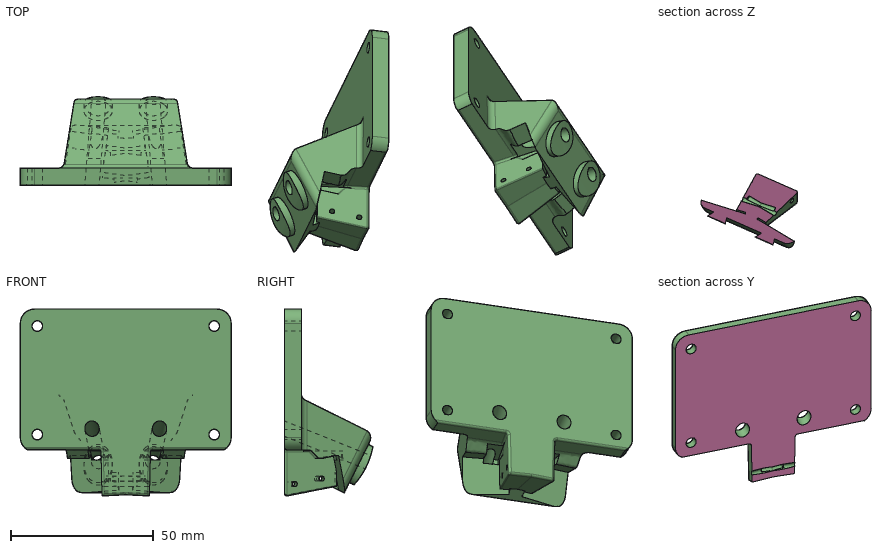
import cadquery as cq
import math

plate_width = 74
plate_height = 50.0
plate_thickness = 6.0
corner_radius = 5.0
screw_hole_diameter = 3.6
screw_hole_inset = 6.0
front_edge_radius = 0.8

body_pitch = 26.5
body_depth = 23.1
body_root_width = 44.5
body_side_taper = 8.5
body_side_pitch = 11
body_length = 44.4
body_end_y = 26.1
body_end_z = -4.15
body_edge_radius = 2.95
root_radius = 2.2

button_spacing = 19.4
button_width = 10.0
button_height = 15.0
button_rim = 1.8
button_dome = 1.0

bore_diameter = 5.0
bore_front_spacing = 23.7
bore_front_z = 8.1
bore_exit_rise = 1.6

mount_half_width = 8.8
mount_turn = 8
mount_lean = 1.3
mount_pitch = 11
mount_bottom_z = -15.75
mount_length = 18.5
mount_edge_radius = 0.4
pin_hole_diameter = 1.8
pin_hole_places = [(3.7, -11.3), (13.25, -9.5)]

pocket_back_y = 17.3
pocket_back_z = -1.25
pocket_floor_z = -22.2

relief_z = 0.7
relief_step_start_y = 7.9
relief_step_end = (13.0, -2.4)
neck_corner_radius = 0.75

window_width = 5.7
window_bottom_z = -2.95
window_top_z = 0.2
window_front_y = 6.65
window_back_y = 20.3

overlap = 3.7


def sloped(start, run, angle):
    """Point reached from start after a horizontal run at the given slope."""
    return (start[0] + run, start[1] + run * math.tan(math.radians(angle)))


def both_sides(solid):
    return solid.union(solid.mirror("YZ"))


def place_on_mount(solid):
    """Move a solid from the frame of the left side face to its place on the part."""
    return solid.rotate((0, 0, 0), (0, 0, 1), -mount_turn).translate((-mount_half_width, 0, 0))


def make_plate():
    return (
        cq.Workplane("XZ")
        .rect(plate_width, plate_height)
        .extrude(-plate_thickness)
        .edges("|Y")
        .fillet(corner_radius)
        .translate((0, 0, plate_height / 2))
    )


def end_face_plane():
    """Plane of the end face: normal out of the body, X across, Y down the face."""
    pitch = math.radians(body_pitch)
    return cq.Plane((0, body_end_y, body_end_z), (1, 0, 0), (0, math.cos(pitch), -math.sin(pitch)))


def make_body():
    """Slab along the body axis, trimmed to tapered sides and to the back of the plate."""
    slab = cq.Workplane(end_face_plane()).box(
        plate_width, body_depth, body_length, centered=(True, True, False)
    )
    slab = slab.translate(end_face_plane().zDir * -body_length)
    root_half = body_root_width / 2
    end_half = root_half - body_length * math.tan(math.radians(body_side_taper))
    wedge = (
        cq.Workplane("XY")
        .polyline([
            (-root_half, 0),
            (root_half, 0),
            (end_half, body_length),
            (-end_half, body_length),
        ])
        .close()
        .extrude(body_length, both=True)
        .rotate((0, 0, 0), (1, 0, 0), -body_side_pitch)
    )
    body = slab.intersect(wedge)
    end_face = body.faces(cq.selectors.DirectionMinMaxSelector(end_face_plane().zDir, True))
    rounded = end_face.edges().filter(lambda edge: edge.Center().z > body_end_z - body_depth / 4)
    body = body.newObject(rounded.vals()).fillet(body_edge_radius)
    behind = cq.Workplane().box(plate_width, 74, 148, centered=(True, False, True))
    return body.intersect(behind.translate((0, plate_thickness / 2, 0)))


def fillet_root(solid):
    """Round the corner where the sides and top of the body meet the plate back."""
    reach = 0.01
    at_back = cq.selectors.BoxSelector(
        (corner_radius - plate_width / 2, plate_thickness - reach, reach),
        (plate_width / 2 - corner_radius, plate_thickness + reach, plate_height - corner_radius),
    )
    return solid.edges(at_back).fillet(root_radius)


def make_buttons():
    """Oval studs whose ends curve from top to bottom and run straight from side to side."""
    half_height = button_height / 2
    stud = (
        cq.Workplane("XY")
        .ellipse(button_width / 2, half_height)
        .extrude(button_rim + button_dome + overlap)
        .translate((0, 0, -overlap))
    )
    side_profile = (
        cq.Workplane("YZ")
        .moveTo(-half_height, -overlap)
        .lineTo(-half_height, button_rim)
        .threePointArc((0, button_rim + button_dome), (half_height, button_rim))
        .lineTo(half_height, -overlap)
        .close()
        .extrude(button_width, both=True)
    )
    left = stud.intersect(side_profile).translate((-button_spacing / 2, 0, 0))
    return both_sides(cq.Workplane(left.val().moved(cq.Location(end_face_plane()))))


def make_mounts():
    low_front = (0, mount_bottom_z)
    half = (
        cq.Workplane("YZ")
        .polyline([
            (0, overlap),
            low_front,
            sloped(low_front, mount_length, mount_pitch),
            (mount_length, overlap),
        ])
        .close()
        .extrude(mount_half_width * 2)
        .faces("<X")
        .edges("<Z")
        .fillet(mount_edge_radius)
        .rotate((0, 0, 0), (0, 1, 0), -mount_lean)
    )
    keep = cq.Workplane().box(mount_half_width * 2, 44.4, 74, centered=(False, False, True))
    return both_sides(place_on_mount(half).intersect(keep.translate((-mount_half_width * 2, 0, 0))))


def make_pockets():
    """Switch pockets; the mounts refill the strip that reaches past their side faces."""
    slope = math.radians(mount_pitch)
    back_top = (pocket_back_y, pocket_back_z)
    back_run = (pocket_back_z - pocket_floor_z) * math.tan(slope)
    pocket = (
        cq.Workplane("YZ")
        .polyline([
            back_top,
            sloped(back_top, -2 * pocket_back_y, mount_pitch),
            (-pocket_back_y, pocket_floor_z),
            (pocket_back_y + back_run, pocket_floor_z),
        ])
        .close()
        .extrude(-plate_width)
        .translate((overlap, 0, 0))
    )
    return both_sides(place_on_mount(pocket))


def make_windows():
    window = cq.Workplane().box(
        window_width, window_back_y - window_front_y, window_top_z - window_bottom_z, centered=False
    )
    window = window.translate((-window_width, window_front_y, window_bottom_z))
    return both_sides(place_on_mount(window))


def make_relief():
    """Everything below the plate and the stepped front of the body."""
    slope = math.radians(mount_pitch)
    step_middle = (
        (relief_step_start_y + relief_step_end[0]) / 2,
        (relief_z + relief_step_end[1]) / 2,
    )
    return (
        cq.Workplane("YZ")
        .moveTo(-overlap, pocket_floor_z)
        .lineTo(-overlap, relief_z)
        .lineTo(relief_step_start_y, relief_z)
        .spline(
            [step_middle, relief_step_end],
            tangents=[(1, 0), (math.cos(slope), math.sin(slope))],
            includeCurrent=True,
        )
        .lineTo(relief_step_end[0], pocket_floor_z)
        .close()
        .extrude(plate_width, both=True)
    )


def make_pin_holes():
    holes = (
        cq.Workplane("YZ")
        .pushPoints(pin_hole_places)
        .circle(pin_hole_diameter / 2)
        .extrude(mount_half_width + overlap)
    )
    return both_sides(place_on_mount(holes))


def make_bores():
    front = cq.Vector(-bore_front_spacing / 2, 0, bore_front_z)
    button_exit = end_face_plane().toWorldCoords((-button_spacing / 2, -bore_exit_rise, 0))
    direction = (button_exit - front).normalized()
    length = (button_exit - front).Length + 2 * overlap
    bore = cq.Solid.makeCylinder(bore_diameter / 2, length, front - direction * overlap, direction)
    return both_sides(cq.Workplane(bore))


def make_screw_holes():
    return (
        cq.Workplane("XZ")
        .rect(plate_width - 2 * screw_hole_inset, plate_height - 2 * screw_hole_inset, forConstruction=True)
        .vertices()
        .circle(screw_hole_diameter / 2)
        .extrude(-plate_thickness)
        .translate((0, 0, plate_height / 2))
    )


def round_front_edges(solid):
    """Round the front edges along the underside of the plate and around the neck."""
    edges = solid.faces("<Y").edges().filter(lambda edge: edge.BoundingBox().zmax < relief_z + 0.01)
    return solid.newObject(edges.vals()).fillet(front_edge_radius)


def round_neck_corners(solid):
    """Round the inner corners where the neck sides meet the underside of the plate."""
    reach = 1.5
    for side in (-1, 1):
        x = side * mount_half_width
        corner = cq.selectors.BoxSelector(
            (x - reach, 0.01, relief_z - 0.1),
            (x + reach, relief_step_start_y, relief_z + 0.1),
        )
        solid = solid.edges(corner).fillet(neck_corner_radius)
    return solid


result = fillet_root(make_plate().union(make_body()))
result = result.union(make_buttons()).cut(make_relief()).cut(make_pockets()).union(make_mounts())
result = round_front_edges(round_neck_corners(result))
result = result.cut(make_windows()).cut(make_pin_holes())
result = result.cut(make_bores()).cut(make_screw_holes())